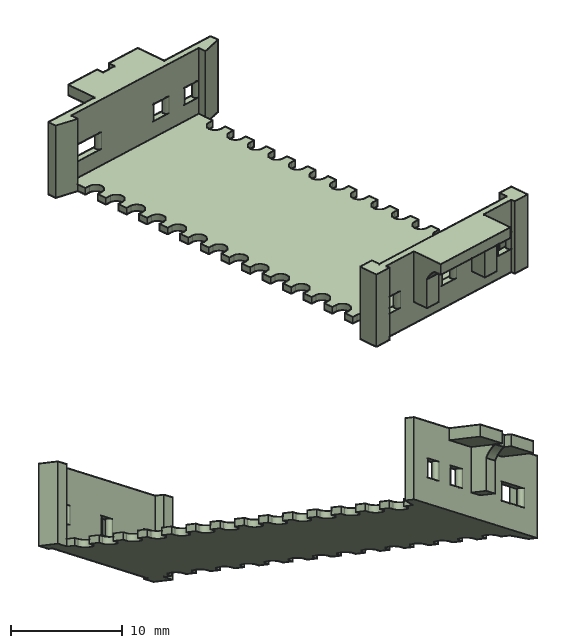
import cadquery as cq
import math

length = 46.0
height = 7.5

floor_start = 3.95
floor_end = 42.0
floor_width = 16.5
floor_thickness = 0.7
notch_count = 14
notch_row_length = 33.05
notch_width = 1.5
notch_depth = 1.3

wall_thickness = 0.7
left_wall_width = 21.0
wing_tip_thickness = 0.9
wing_root_thickness = 1.5
post_start = 41.1
post_end = 43.1
post_outer_width = 19.6
post_step_width = 16.2

tab_width = 9.0
tab_thickness = 1.1
tab_notch_depth = 0.75
rib_width = 1.5
rib_bottom = 2.25
rib_setback = 1.7
haunch_setback = 0.8
haunch_height = 1.15
haunch_sag = 0.1

window_bottom = 2.4
window_height = 1.75
outer_window_edge = 8.25
outer_window_width = 1.95
left_middle_window_edge = 4.35
left_middle_window_width = 2.05
right_middle_window_width = 1.95

left_wall_outer = floor_start - wall_thickness
right_wall_outer = floor_end + wall_thickness
floor_middle = (floor_start + floor_end) / 2
notch_pitch = notch_row_length / (notch_count - 1)


def box(x_range, y_range, z_range):
    """Axis-aligned block between pairs of limits."""
    sizes = [high - low for low, high in (x_range, y_range, z_range)]
    corner = (x_range[0], y_range[0], z_range[0])
    return cq.Workplane("XY").box(*sizes, centered=False).translate(corner)


def mirrored_outline(half_points):
    """Closed outline from its +Y half, completed by reflection about Y = 0."""
    return half_points + [(x, -y) for x, y in reversed(half_points)]


def make_floor():
    plate = box(
        (floor_start, floor_end),
        (-floor_width / 2, floor_width / 2),
        (0, floor_thickness),
    )
    first_notch = floor_middle - notch_row_length / 2
    for index in range(notch_count):
        for side in (-1, 1):
            slot = (
                cq.Workplane("XY")
                .center(first_notch + index * notch_pitch, side * floor_width / 2)
                .slot2D(2 * notch_depth, notch_width, 90)
                .extrude(floor_thickness)
            )
            plate = plate.cut(slot)
    return plate


def make_left_wall():
    """Wall with tapered wings that stand proud of its inner face."""
    outline = mirrored_outline([
        (left_wall_outer, left_wall_width / 2),
        (left_wall_outer + wing_tip_thickness, left_wall_width / 2),
        (left_wall_outer + wing_root_thickness, floor_width / 2),
        (floor_start, floor_width / 2),
    ])
    return cq.Workplane("XY").polyline(outline).close().extrude(height)


def make_right_wall():
    """Wall with a thick post at each end."""
    outline = mirrored_outline([
        (right_wall_outer, post_step_width / 2),
        (post_end, post_step_width / 2),
        (post_end, post_outer_width / 2),
        (post_start, post_outer_width / 2),
        (post_start, floor_width / 2),
        (floor_end, floor_width / 2),
    ])
    return cq.Workplane("XY").polyline(outline).close().extrude(height)


def make_rib(wall_face, middle_y):
    """Rib on the outside of a left-hand wall, spreading in a hollow curve under the tab."""
    tab_underside = height - tab_thickness
    top = (haunch_setback, tab_underside)
    bottom = (rib_setback, tab_underside - haunch_height)
    run = bottom[0] - top[0]
    chord = math.hypot(run, haunch_height)
    curve_middle = (
        (top[0] + bottom[0]) / 2 + haunch_sag * haunch_height / chord,
        (top[1] + bottom[1]) / 2 + haunch_sag * run / chord,
    )
    return (
        cq.Workplane("XZ", origin=(0, middle_y + rib_width / 2, 0))
        .moveTo(wall_face, rib_bottom)
        .lineTo(rib_setback, rib_bottom)
        .lineTo(*bottom)
        .threePointArc(curve_middle, top)
        .lineTo(wall_face, tab_underside)
        .close()
        .extrude(rib_width)
    )


def make_left_tab():
    tab = box(
        (0, left_wall_outer),
        (-tab_width / 2, tab_width / 2),
        (height - tab_thickness, height),
    )
    tip_notch = box((0, tab_notch_depth), (-rib_width / 2, rib_width / 2), (0, height))
    return tab.cut(tip_notch).union(make_rib(left_wall_outer, 0))


def make_right_tab():
    """Plain tab with a rib flush with each of its sides."""
    tab = box(
        (right_wall_outer, length),
        (-tab_width / 2, tab_width / 2),
        (height - tab_thickness, height),
    )
    for side in (-1, 1):
        rib = make_rib(length - right_wall_outer, side * (tab_width - rib_width) / 2)
        tab = tab.union(rib.mirror("YZ").translate((length, 0, 0)))
    return tab


def make_window(wall_start, low_y, high_y):
    """Cutter for a window whose two jambs bulge into the opening as half rounds."""
    wall_end = wall_start + wall_thickness
    wall_middle = wall_start + wall_thickness / 2
    bulge = wall_thickness / 2
    return (
        cq.Workplane("XY", origin=(0, 0, window_bottom))
        .moveTo(wall_start, low_y)
        .threePointArc((wall_middle, low_y + bulge), (wall_end, low_y))
        .lineTo(wall_end, high_y)
        .threePointArc((wall_middle, high_y - bulge), (wall_start, high_y))
        .close()
        .extrude(window_height)
    )


outer_window_inner_edge = outer_window_edge - outer_window_width
left_windows = [
    (outer_window_inner_edge, outer_window_edge),
    (left_middle_window_edge - left_middle_window_width, left_middle_window_edge),
    (-outer_window_edge, -left_middle_window_edge),
]
right_windows = [
    (outer_window_inner_edge, outer_window_edge),
    (-right_middle_window_width / 2, right_middle_window_width / 2),
    (-outer_window_edge, -outer_window_inner_edge),
]

result = make_floor()
for piece in (make_left_wall(), make_right_wall(), make_left_tab(), make_right_tab()):
    result = result.union(piece)
for wall_start, windows in ((left_wall_outer, left_windows), (floor_end, right_windows)):
    for low_y, high_y in windows:
        result = result.cut(make_window(wall_start, low_y, high_y))